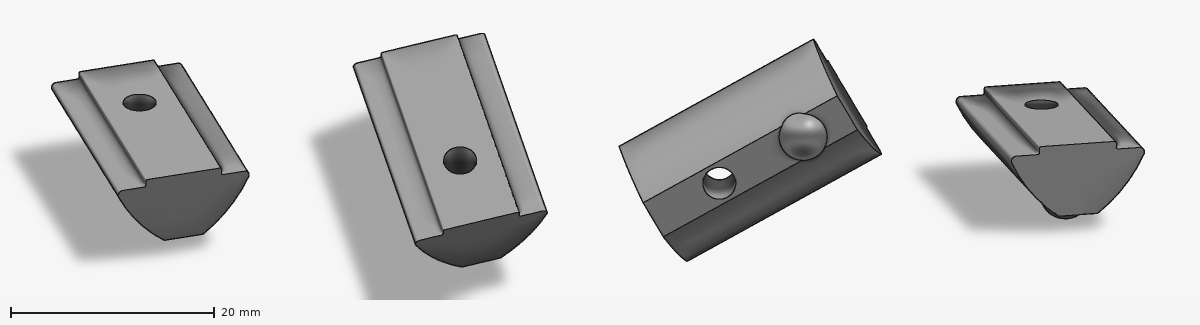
import cadquery as cq
import math

length = 22.0
width = 13.5
body_height = 7.25
total_height = 8.95

tongue_width = 7.8
tongue_height = 0.8
tongue_top_radius = 0.2
tongue_root_radius = 0.2

wing_radius = 0.5
flank_start_angle = math.radians(25)
bottom_width = 4.0

hole_diameter = 3.24
hole_x = -3.5
ball_radius = 2.5
ball_x = 6.0

shoulder_z = body_height - tongue_height


def half_profile():
    """Right-hand half of the cross-section in the YZ plane, closed on the centre line."""
    tongue_y = tongue_width / 2
    wing_center_y = width / 2 - wing_radius
    wing_center_z = shoulder_z - wing_radius

    def wing_point(angle):
        """Point on the wing rounding, the angle measured upward from horizontal."""
        return (
            wing_center_y + wing_radius * math.cos(angle),
            wing_center_z + wing_radius * math.sin(angle),
        )

    return (
        cq.Workplane("YZ")
        .moveTo(0, 0)
        .lineTo(0, body_height)
        .lineTo(tongue_y - tongue_top_radius, body_height)
        .tangentArcPoint((tongue_y, body_height - tongue_top_radius), relative=False)
        .lineTo(tongue_y, shoulder_z + tongue_root_radius)
        .tangentArcPoint((tongue_y + tongue_root_radius, shoulder_z), relative=False)
        .lineTo(wing_center_y, shoulder_z)
        .threePointArc(wing_point(0), wing_point(-flank_start_angle))
        .tangentArcPoint((bottom_width / 2, 0), relative=False)
        .close()
    )


def make_body():
    """Constant cross-section along X, symmetric about the XZ plane."""
    half = half_profile().extrude(length / 2, both=True)
    return half.union(half.mirror("XZ")).clean()


def make_ball():
    """Ball protruding below the underside."""
    ball_z = body_height - total_height + ball_radius
    return cq.Workplane("XY").sphere(ball_radius).translate((ball_x, 0, ball_z))


def make_hole():
    """Cutter for the hole through the full body height."""
    return cq.Workplane("XY").center(hole_x, 0).circle(hole_diameter / 2).extrude(body_height)


result = make_body().union(make_ball()).cut(make_hole())